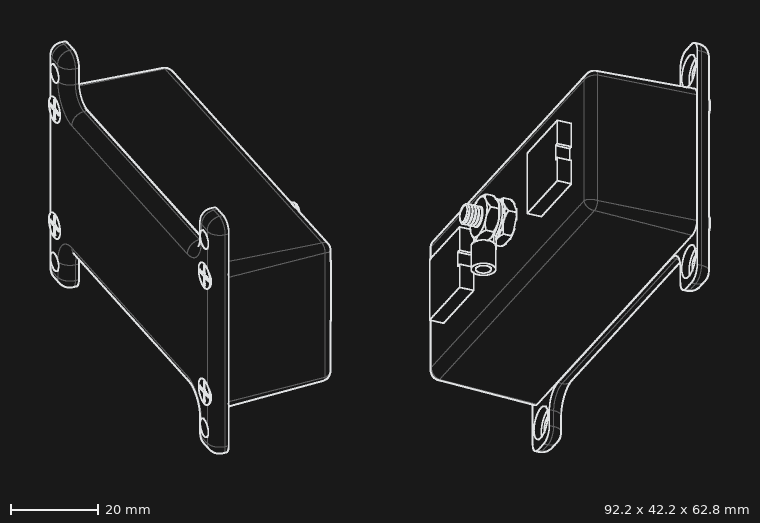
import cadquery as cq
import math


lid_width = 92.2
lid_ear_span = 62.79
lid_body_height = 38.6
lid_thickness = 4.05
lid_edge_fillet = 3.05
ear_width = 9.5
ear_corner_radius = 3.2
ear_root_radius = 4.7
ear_center_x = (lid_width - ear_width) / 2
mount_hole_diameter = 4.45
mount_hole_z = 25.05
mount_relief_diameter = 7.8
mount_seat_thickness = 2.2

screw_head_diameter = 6.3
screw_head_depth = 2.5
screw_z = 15.45
cross_length = 4.95
cross_width = 0.65
cross_depth = 1.0

box_inset = 0.15
box_width = lid_width - 2 * box_inset
box_height = lid_body_height - 2 * box_inset
box_back_y = 31.05
box_depth = box_back_y - lid_thickness
box_draft = 2.0
box_corner_radius = 2.6
box_back_fillet = 2.4

pad_width = 16.8
pad_height = 15.9
pad_thickness = 3.55
pad_center_x = 27.35
pad_notch_height = 3.66
pad_notch_depth = 1.0

stud_tip_y = 42.16
stud_diameter = 4.826
thread_pitch = 25.4 / 32
thread_depth = 0.45
stud_tip_chamfer = 0.35

nut_across_flats = 9.525
nut_corner_radius = nut_across_flats / math.sqrt(3)
nut_thickness = 3.15
nut_chamfer_angle = 40.0
nut_face_radius = nut_across_flats / 2
lower_nut_sink = 0.3

washer_radius = 4.95
washer_thickness = 0.65
tooth_count = 12
tooth_gap_width = 1.0
tooth_gap_depth = 0.8

ring_radius = 4.95
tongue_thickness = 0.65
barrel_diameter = 5.65
neck_width = barrel_diameter / 2
barrel_wall = 1.05
barrel_base_drop = 0.25
barrel_top_z = -7.36
barrel_length = 6.15

lower_nut_y = box_back_y - lower_nut_sink
washer_y = lower_nut_y + nut_thickness
tongue_y = washer_y + washer_thickness
upper_nut_y = tongue_y + tongue_thickness


def plane_at(y):
    """Sketch plane at height y: local x is X, local y is -Z, normal is +Y."""
    return cq.Workplane(cq.Plane(origin=(0, y, 0), xDir=(1, 0, 0), normal=(0, 1, 0)))


ear_xs = (-ear_center_x, ear_center_x)
screw_places = [(x, z) for x in ear_xs for z in (-screw_z, screw_z)]
mount_hole_places = [(x, z) for x in ear_xs for z in (-mount_hole_z, mount_hole_z)]


def make_lid():
    plate = plane_at(0).rect(lid_width - ear_width, lid_body_height).extrude(lid_thickness)
    ears = plane_at(0).pushPoints([(x, 0) for x in ear_xs])
    ears = ears.rect(ear_width, lid_ear_span).extrude(lid_thickness)
    ears = ears.edges("|Y").fillet(ear_corner_radius)
    lid = plate.union(ears)
    root_x = lid_width / 2 - ear_width
    root_z = lid_body_height / 2
    margin = 1.0
    roots = cq.selectors.BoxSelector(
        (-root_x - margin, -margin, -root_z - margin),
        (root_x + margin, lid_thickness + margin, root_z + margin),
    )
    lid = lid.edges(roots).edges("|Y").fillet(ear_root_radius)
    lid = lid.faces("<Y").edges().fillet(lid_edge_fillet)
    holes = plane_at(0).pushPoints(mount_hole_places).circle(mount_hole_diameter / 2).extrude(lid_thickness)
    seats = plane_at(0).pushPoints(screw_places).circle(screw_head_diameter / 2).extrude(screw_head_depth)
    reliefs = plane_at(mount_seat_thickness).pushPoints(mount_hole_places).circle(mount_relief_diameter / 2)
    reliefs = reliefs.extrude(lid_thickness - mount_seat_thickness)
    return lid.cut(holes).cut(reliefs).cut(seats)


def make_screw(x, z):
    head = plane_at(0).center(x, z).circle(screw_head_diameter / 2).extrude(screw_head_depth)
    for length, height in ((cross_length, cross_width), (cross_width, cross_length)):
        head = head.cut(plane_at(0).center(x, z).rect(length, height).extrude(cross_depth))
    return head


def make_pad(side):
    pad = plane_at(box_back_y).center(side * pad_center_x, 0).rect(pad_width, pad_height)
    pad = pad.extrude(pad_thickness)
    notch_x = side * pad_center_x - (pad_width - pad_notch_depth) / 2
    notch = plane_at(box_back_y).center(notch_x, 0).rect(pad_notch_depth, pad_notch_height)
    return pad.cut(notch.extrude(pad_thickness))


def make_box():
    outline = cq.Sketch().rect(box_width, box_height).vertices().fillet(box_corner_radius)
    box = plane_at(lid_thickness).placeSketch(outline).extrude(box_depth, taper=box_draft)
    box = box.faces(">Y").edges().fillet(box_back_fillet)
    for side in (-1, 1):
        box = box.union(make_pad(side))
    return box


def make_stud():
    length = stud_tip_y - lower_nut_y
    radius = stud_diameter / 2
    stud = plane_at(lower_nut_y).circle(radius).extrude(length).faces(">Y").chamfer(stud_tip_chamfer)
    nut_top = upper_nut_y + nut_thickness
    groove_count = int((stud_tip_y - stud_tip_chamfer - nut_top) / thread_pitch)
    for index in range(groove_count):
        start = stud_tip_y - stud_tip_chamfer - (index + 1) * thread_pitch
        groove = cq.Workplane("XY").polyline([
            (radius, start),
            (radius - thread_depth, start + thread_pitch / 2),
            (radius, start + thread_pitch),
        ]).close().revolve(360, (0, 0, 0), (0, 1, 0))
        stud = stud.cut(groove)
    return stud


def make_nut(y):
    drop = (nut_corner_radius - nut_face_radius) * math.tan(math.radians(nut_chamfer_angle))
    envelope = cq.Workplane("XY").polyline([
        (0, y),
        (nut_face_radius, y),
        (nut_corner_radius, y + drop),
        (nut_corner_radius, y + nut_thickness - drop),
        (nut_face_radius, y + nut_thickness),
        (0, y + nut_thickness),
    ]).close().revolve(360, (0, 0, 0), (0, 1, 0))
    hexagon = plane_at(y).polygon(6, 2 * nut_corner_radius).extrude(nut_thickness)
    bore = plane_at(y).circle(stud_diameter / 2).extrude(nut_thickness)
    return hexagon.intersect(envelope).cut(bore)


def make_toothed_washer():
    washer = plane_at(washer_y).circle(washer_radius).circle(stud_diameter / 2).extrude(washer_thickness)
    gaps = plane_at(washer_y).polarArray(washer_radius, 0, 360, tooth_count)
    return washer.cut(gaps.rect(2 * tooth_gap_depth, tooth_gap_width).extrude(washer_thickness))


def make_ring_terminal():
    tongue = plane_at(tongue_y).circle(ring_radius).extrude(tongue_thickness)
    neck_end_z = barrel_top_z - barrel_wall
    neck_length = abs(neck_end_z)
    neck = plane_at(tongue_y).center(0, neck_length / 2).rect(neck_width, neck_length)
    tongue = tongue.union(neck.extrude(tongue_thickness))
    tongue = tongue.cut(plane_at(tongue_y).circle(stud_diameter / 2).extrude(tongue_thickness))
    barrel_axis_y = tongue_y - barrel_base_drop + barrel_diameter / 2
    barrel = cq.Workplane("XY", origin=(0, barrel_axis_y, barrel_top_z))
    bore_radius = barrel_diameter / 2 - barrel_wall
    tube = barrel.circle(barrel_diameter / 2).circle(bore_radius).extrude(-barrel_length)
    bore = barrel.circle(bore_radius).extrude(-barrel_length)
    return tongue.cut(bore).union(tube)


lid = make_lid()
screws = [make_screw(x, z) for x, z in screw_places]
stud = make_stud()
lower_nut = make_nut(lower_nut_y).union(make_toothed_washer())
box = make_box().cut(lower_nut).cut(stud)
ring_terminal = make_ring_terminal()
upper_nut = make_nut(upper_nut_y)

result = cq.Compound.makeCompound([
    lid.val(),
    *[screw.val() for screw in screws],
    box.val(),
    stud.val(),
    lower_nut.val(),
    ring_terminal.val(),
    upper_nut.val(),
])